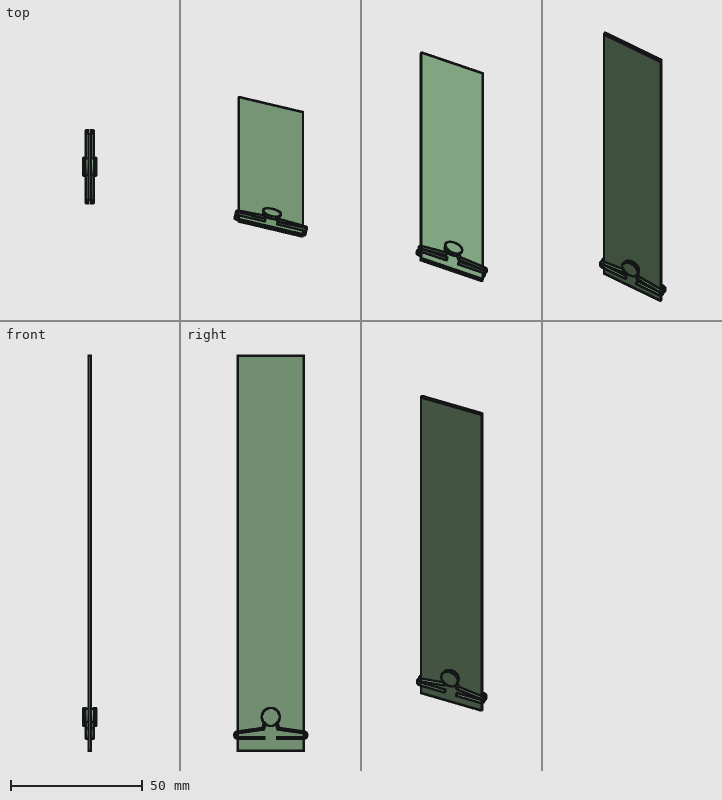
import cadquery as cq
import math

PLATE_LENGTH = 150.0
PLATE_WIDTH = 25.0
PLATE_THICKNESS = 0.99
PLATE_FACE_X = PLATE_THICKNESS / 2

OVERALL_WIDTH = 27.8
OVERALL_DEPTH = 5.0

BUTTON_CENTRE_Z = 12.9
NECK_RADIUS = 3.2
NECK_HEIGHT = 1.0
HEAD_RADIUS = 3.5
HEAD_HEIGHT = OVERALL_DEPTH / 2 - PLATE_FACE_X - NECK_HEIGHT
HEAD_ROUNDING = 0.5

ARM_DEPTH = NECK_HEIGHT
STRIP_THICKNESS = 0.8
STRIP_ROUNDING = STRIP_THICKNESS / 2
HOOK_RADIUS = 1.0
HOOK_CENTRE_Y = OVERALL_WIDTH / 2 - STRIP_THICKNESS / 2 - HOOK_RADIUS
HOOK_CENTRE_Z = 6.0
ARM_SLOPE = math.radians(8)
ARM_TIP_Y = 2.4
ARM_BOTTOM_Z = HOOK_CENTRE_Z - HOOK_RADIUS
SLOPE_START_Y = HOOK_CENTRE_Y + HOOK_RADIUS * math.sin(ARM_SLOPE)
SLOPE_START_Z = HOOK_CENTRE_Z + HOOK_RADIUS * math.cos(ARM_SLOPE)
SHOULDER_Y = 2.8
SHOULDER_Z = SLOPE_START_Z + (SLOPE_START_Y - SHOULDER_Y) * math.tan(ARM_SLOPE)
ROOT_Y = 2.1
ROOT_Z = 11.2


def make_plate():
    return cq.Workplane("XY").box(
        PLATE_THICKNESS, PLATE_WIDTH, PLATE_LENGTH, centered=(True, True, False)
    )


def make_button():
    """Neck and rounded head, standing on the +X face of the plate."""
    neck = (
        cq.Workplane("YZ", origin=(PLATE_FACE_X, 0, BUTTON_CENTRE_Z))
        .circle(NECK_RADIUS)
        .extrude(NECK_HEIGHT)
    )
    head = (
        cq.Workplane("YZ", origin=(PLATE_FACE_X + NECK_HEIGHT, 0, BUTTON_CENTRE_Z))
        .circle(HEAD_RADIUS)
        .extrude(HEAD_HEIGHT)
        .edges()
        .fillet(HEAD_ROUNDING)
    )
    return neck.union(head)


def make_arm(end):
    """Lower leg, end hook, sloping upper leg and root in the button; end is +1 or -1 along Y."""
    centreline = (
        cq.Workplane("YZ", origin=(PLATE_FACE_X, 0, 0))
        .moveTo(ARM_TIP_Y, ARM_BOTTOM_Z)
        .lineTo(HOOK_CENTRE_Y, ARM_BOTTOM_Z)
        .threePointArc((HOOK_CENTRE_Y + HOOK_RADIUS, HOOK_CENTRE_Z), (SLOPE_START_Y, SLOPE_START_Z))
        .lineTo(SHOULDER_Y, SHOULDER_Z)
        .lineTo(ROOT_Y, ROOT_Z)
    )
    half = STRIP_THICKNESS / 2
    flank = ARM_DEPTH - STRIP_ROUNDING
    arm = (
        cq.Workplane("XZ", origin=(PLATE_FACE_X, ARM_TIP_Y, ARM_BOTTOM_Z))
        .moveTo(0, -half)
        .lineTo(flank, -half)
        .threePointArc((ARM_DEPTH, 0), (flank, half))
        .lineTo(0, half)
        .close()
        .sweep(centreline, transition="right")
    )
    return arm if end > 0 else arm.mirror("XZ")


def make_clip():
    """Clip on the +X face of the plate: one button with an arm to each side."""
    body = make_button()
    for end in (1, -1):
        body = body.union(make_arm(end))
    return body


plate = make_plate()
clip = make_clip()
clips = [clip, clip.mirror("YZ")]

result = cq.Compound.makeCompound([plate.val(), *[body.val() for body in clips]])